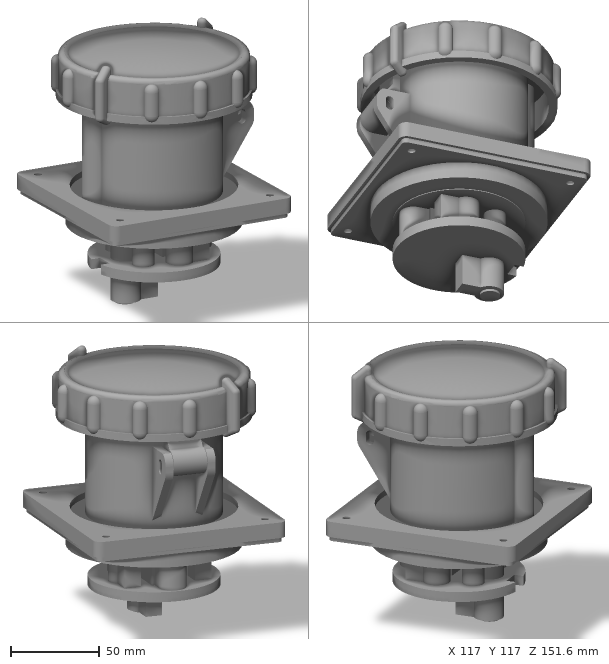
import cadquery as cq
import math

TERMINAL_SHOULDER_Z = 1.4
DISC_BOTTOM_Z = 20.3
DISC_TOP_Z = 26.2
INSERT_FACE_Z = 44.0
SPIGOT_BOTTOM_Z = 44.5
GASKET_BOTTOM_Z = 54.5
FLANGE_BOTTOM_Z = 57.3
FLANGE_TOP_Z = 66.5
RING_BOTTOM_Z = 120.3
RING_SKIRT_TOP_Z = 124.7
LID_BOTTOM_Z = 139.5
RING_TOP_Z = 146.5
HANDLE_TOP_Z = 151.6

FLANGE_SIDE = 117.0
FLANGE_CORNER_R = 5.0
GASKET_INSET = 2.0
FLANGE_HOLE_OFFSET = 48.5
FLANGE_HOLE_D = 4.5
RECESS_R = 47.9
RECESS_DEPTH = 3.6
SPIGOT_R = 50.3

BARREL_R = 39.1
KEY_R = 8.6
KEY_REACH = 45.5

INSERT_R = 37.8
NOTCH_HALF_WIDTH = 5.6
NOTCH_BACK_Y = -31.8
LONG_TERMINAL_Y = -18.3
LONG_TERMINAL_R = 8.6
TIP_R = 5.8
TIP_Y = -19.0
WEB_HALF_WIDTH = 5.0
PHASE_TERMINAL_R = 6.4
PHASE_TERMINAL_XY = (15.8, -15.6)
SIDE_TERMINAL_R = 7.9
SIDE_TERMINAL_XY = (21.5, 4.5)
REAR_TERMINAL_R = 8.0
REAR_TERMINAL_Y = 27.9
WALL_HALF_WIDTH = 9.9
WALL_REAR_Y = 21.5

HINGE_Y = 48.5
HINGE_Z = 106.0
HINGE_R = 7.9
HINGE_HOLE_R = 2.5
EAR_TOP_Z = 112.8
EAR_FOOT_Z = 69.0
EAR_SLOT_TRAVEL = 3.8
EAR_ROOT_DEPTH = 1.5
EAR_INNER_X = 10.5
EAR_OUTER_X = 15.3
TAB_HALF_WIDTH = 10.2
TAB_INNER_Y = 40.2
TAB_NECK_Y = 44.6
TAB_SHOULDER_Y = 49.5

LID_R = 51.1
DOME_R = 48.5
DOME_EDGE_Z = 145.5
DOME_PEAK_Z = 148.9

RING_R = 54.6
RING_SKIRT_R = 56.0
RING_FILLET = 2.9
GRIP_PITCH = 30
GRIP_R = 4.2
GRIP_BOTTOM_Z = 125.5
GRIP_TOP_Z = 139.7
HANDLE_ANGLES = (120, 300)
HANDLE_THICKNESS = 5.5
HANDLE_CORNER_R = 2.5
HANDLE_EDGE_FILLET = 2.3
HANDLE_INNER_R = 50.0
HANDLE_OUTER_R = 61.4
HANDLE_LOW_Z = 116.8
HANDLE_CORE_BOTTOM_Z = 122.5
HANDLE_CORE_TOP_Z = 144.0


def disc(radius, bottom, top, x=0.0, y=0.0):
    """Upright cylinder between two heights."""
    return cq.Workplane("XY", origin=(x, y, bottom)).circle(radius).extrude(top - bottom)


def rounded_plate(side, corner_radius, bottom, top):
    """Square plate with rounded vertical corners."""
    plate = cq.Workplane("XY", origin=(0, 0, bottom)).rect(side, side).extrude(top - bottom)
    return plate.edges("|Z").fillet(corner_radius)


def block(x_min, x_max, y_min, y_max, bottom, top):
    """Axis-aligned block given by its limits."""
    size = (x_max - x_min, y_max - y_min, top - bottom)
    return cq.Workplane("XY").box(*size, centered=False).translate((x_min, y_min, bottom))


def make_flange():
    flange = rounded_plate(FLANGE_SIDE, FLANGE_CORNER_R, FLANGE_BOTTOM_Z, FLANGE_TOP_Z)
    gasket_side = FLANGE_SIDE - 2 * GASKET_INSET
    gasket_corner_r = FLANGE_CORNER_R - GASKET_INSET
    flange = flange.union(rounded_plate(gasket_side, gasket_corner_r, GASKET_BOTTOM_Z, FLANGE_BOTTOM_Z))
    flange = flange.union(disc(SPIGOT_R, SPIGOT_BOTTOM_Z, GASKET_BOTTOM_Z))
    flange = flange.cut(disc(RECESS_R, FLANGE_TOP_Z - RECESS_DEPTH, FLANGE_TOP_Z))
    for x in (-FLANGE_HOLE_OFFSET, FLANGE_HOLE_OFFSET):
        for y in (-FLANGE_HOLE_OFFSET, FLANGE_HOLE_OFFSET):
            flange = flange.cut(disc(FLANGE_HOLE_D / 2, GASKET_BOTTOM_Z, FLANGE_TOP_Z, x, y))
    return flange


def make_barrel():
    foot = FLANGE_TOP_Z - RECESS_DEPTH
    barrel = disc(BARREL_R, foot, LID_BOTTOM_Z)
    return barrel.union(disc(KEY_R, foot, LID_BOTTOM_Z, 0, KEY_R - KEY_REACH))


def make_ear(x_start):
    """Triangular ear with a rounded nose and a slotted pivot hole."""
    root_y = math.sqrt(BARREL_R ** 2 - EAR_OUTER_X ** 2)
    buried_y = root_y - EAR_ROOT_DEPTH
    lower_z = HINGE_Z - EAR_SLOT_TRAVEL
    top_y = HINGE_Y + math.sqrt(HINGE_R ** 2 - (EAR_TOP_Z - HINGE_Z) ** 2)

    dy = HINGE_Y - root_y
    dz = lower_z - EAR_FOOT_Z
    slope = math.atan2(dz, dy) - math.asin(HINGE_R / math.hypot(dy, dz))
    tangent_y = HINGE_Y + HINGE_R * math.sin(slope)
    tangent_z = lower_z - HINGE_R * math.cos(slope)

    upper_mid = math.atan2(EAR_TOP_Z - HINGE_Z, top_y - HINGE_Y) / 2
    lower_mid = (slope - math.pi / 2) / 2
    ear = (
        cq.Workplane("YZ", origin=(x_start, 0, 0))
        .moveTo(buried_y, EAR_TOP_Z)
        .lineTo(top_y, EAR_TOP_Z)
        .threePointArc(
            (HINGE_Y + HINGE_R * math.cos(upper_mid), HINGE_Z + HINGE_R * math.sin(upper_mid)),
            (HINGE_Y + HINGE_R, HINGE_Z),
        )
        .lineTo(HINGE_Y + HINGE_R, lower_z)
        .threePointArc(
            (HINGE_Y + HINGE_R * math.cos(lower_mid), lower_z + HINGE_R * math.sin(lower_mid)),
            (tangent_y, tangent_z),
        )
        .lineTo(root_y, EAR_FOOT_Z)
        .lineTo(buried_y, EAR_FOOT_Z)
        .close()
        .extrude(EAR_OUTER_X - EAR_INNER_X)
    )
    slot = (
        cq.Workplane("YZ", origin=(x_start, HINGE_Y, HINGE_Z - EAR_SLOT_TRAVEL / 2))
        .slot2D(EAR_SLOT_TRAVEL + 2 * HINGE_HOLE_R, 2 * HINGE_HOLE_R, 90)
        .extrude(EAR_OUTER_X - EAR_INNER_X)
    )
    return ear.cut(slot)


def make_terminals():
    """Insert face, wiring disc and the terminal posts between and below them."""
    parts = disc(INSERT_R, INSERT_FACE_Z, SPIGOT_BOTTOM_Z)
    wiring_disc = disc(INSERT_R, DISC_BOTTOM_Z, DISC_TOP_Z)
    wiring_disc = wiring_disc.cut(
        block(-NOTCH_HALF_WIDTH, NOTCH_HALF_WIDTH, -INSERT_R, NOTCH_BACK_Y, DISC_BOTTOM_Z, DISC_TOP_Z)
    )
    parts = parts.union(wiring_disc)

    posts = [(REAR_TERMINAL_R, 0, REAR_TERMINAL_Y)]
    for side in (-1, 1):
        posts.append((PHASE_TERMINAL_R, side * PHASE_TERMINAL_XY[0], PHASE_TERMINAL_XY[1]))
        posts.append((SIDE_TERMINAL_R, side * SIDE_TERMINAL_XY[0], SIDE_TERMINAL_XY[1]))
    for radius, x, y in posts:
        parts = parts.union(disc(radius, DISC_TOP_Z, INSERT_FACE_Z, x, y))

    for side in (-1, 1):
        x = side * SIDE_TERMINAL_XY[0]
        parts = parts.union(
            block(x - WEB_HALF_WIDTH, x + WEB_HALF_WIDTH, SIDE_TERMINAL_XY[1], WALL_REAR_Y,
                  DISC_TOP_Z, INSERT_FACE_Z)
        )
    parts = parts.union(
        block(-WALL_HALF_WIDTH, WALL_HALF_WIDTH, 0, WALL_REAR_Y, DISC_TOP_Z, INSERT_FACE_Z)
    )
    parts = parts.union(
        block(-REAR_TERMINAL_R, REAR_TERMINAL_R, WALL_REAR_Y, REAR_TERMINAL_Y, DISC_TOP_Z, INSERT_FACE_Z)
    )
    parts = parts.union(disc(LONG_TERMINAL_R, TERMINAL_SHOULDER_Z, INSERT_FACE_Z, 0, LONG_TERMINAL_Y))
    parts = parts.union(
        block(-WEB_HALF_WIDTH, WEB_HALF_WIDTH, LONG_TERMINAL_Y, 0, TERMINAL_SHOULDER_Z, DISC_BOTTOM_Z)
    )
    return parts.union(disc(TIP_R, 0, TERMINAL_SHOULDER_Z, 0, TIP_Y))


def make_socket():
    socket = make_flange().union(make_barrel()).union(make_terminals())
    for x_start in (-EAR_OUTER_X, EAR_INNER_X):
        socket = socket.union(make_ear(x_start))
    return socket


def make_lid():
    dome = (
        cq.Workplane("XZ")
        .moveTo(0, LID_BOTTOM_Z)
        .lineTo(LID_R, LID_BOTTOM_Z)
        .lineTo(LID_R, RING_TOP_Z)
        .lineTo(DOME_R, DOME_EDGE_Z)
        .radiusArc((0, DOME_PEAK_Z), -dome_radius())
        .close()
        .revolve(360, (0, 0, 0), (0, 1, 0))
    )
    return dome.union(make_tab())


def dome_radius():
    """Sphere radius from the dome's edge radius and its rise."""
    rise = DOME_PEAK_Z - DOME_EDGE_Z
    return (DOME_R ** 2 + rise ** 2) / (2 * rise)


def make_tab():
    shoulder_z = HINGE_Z + math.sqrt(HINGE_R ** 2 - (TAB_SHOULDER_Y - HINGE_Y) ** 2)
    tab = (
        cq.Workplane("YZ", origin=(-TAB_HALF_WIDTH, 0, 0))
        .moveTo(TAB_INNER_Y, LID_BOTTOM_Z)
        .lineTo(TAB_NECK_Y, LID_BOTTOM_Z)
        .lineTo(TAB_NECK_Y, RING_BOTTOM_Z)
        .lineTo(TAB_SHOULDER_Y, shoulder_z)
        .threePointArc((HINGE_Y + HINGE_R, HINGE_Z), (HINGE_Y, HINGE_Z - HINGE_R))
        .lineTo(TAB_INNER_Y, HINGE_Z - HINGE_R)
        .close()
        .extrude(2 * TAB_HALF_WIDTH)
    )
    hole = (
        cq.Workplane("YZ", origin=(-TAB_HALF_WIDTH, HINGE_Y, HINGE_Z))
        .circle(HINGE_HOLE_R)
        .extrude(2 * TAB_HALF_WIDTH)
    )
    return tab.cut(hole)


def make_grip(angle):
    """Round-ended upright grip, bulging from the collar at the given angle."""
    grip = disc(GRIP_R, GRIP_BOTTOM_Z, GRIP_TOP_Z)
    for end_z in (GRIP_BOTTOM_Z, GRIP_TOP_Z):
        grip = grip.union(cq.Workplane("XY", origin=(0, 0, end_z)).sphere(GRIP_R))
    grip = grip.translate((FLANGE_SIDE / 2 - GRIP_R, 0, 0))
    return grip.rotate((0, 0, 0), (0, 0, 1), angle)


def make_handle(angle):
    """Radial fin with slanted ends and rounded edges."""
    core_inner_r = HANDLE_INNER_R + HANDLE_CORNER_R
    core_outer_r = HANDLE_OUTER_R - HANDLE_CORNER_R
    fin = (
        cq.Workplane("XZ", origin=(0, HANDLE_THICKNESS / 2, 0))
        .polyline([
            (core_inner_r, HANDLE_LOW_Z + HANDLE_CORNER_R),
            (core_outer_r, HANDLE_CORE_BOTTOM_Z),
            (core_outer_r, HANDLE_CORE_TOP_Z),
            (core_inner_r, HANDLE_TOP_Z - HANDLE_CORNER_R),
        ])
        .close()
        .offset2D(HANDLE_CORNER_R)
        .extrude(HANDLE_THICKNESS)
    )
    fin = fin.faces("|Y").edges().fillet(HANDLE_EDGE_FILLET)
    return fin.rotate((0, 0, 0), (0, 0, 1), angle)


def make_ring():
    ring = disc(RING_R, RING_BOTTOM_Z, RING_TOP_Z).faces(">Z").edges().fillet(RING_FILLET)
    ring = ring.union(disc(RING_SKIRT_R, RING_BOTTOM_Z, RING_SKIRT_TOP_Z))
    for angle in range(0, 360, GRIP_PITCH):
        feature = make_handle(angle) if angle in HANDLE_ANGLES else make_grip(angle)
        ring = ring.union(feature)
    return ring.cut(disc(LID_R, RING_BOTTOM_Z, RING_TOP_Z))


socket = make_socket()
lid = make_lid()
locking_ring = make_ring()

result = cq.Compound.makeCompound([
    socket.solids().val(),
    lid.solids().val(),
    locking_ring.solids().val(),
])